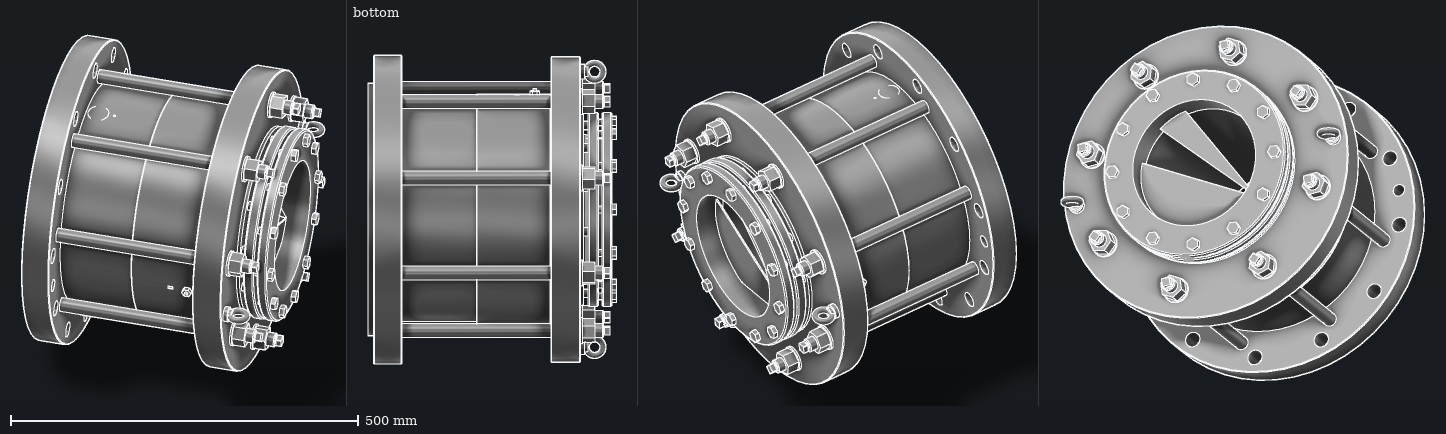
import cadquery as cq
import math

RAISED_FACE_END = 8.2
FRONT_FLANGE_END = 49.0
BODY_STEP = 156.0
REAR_FLANGE_START = 263.0
REAR_FLANGE_END = 305.7
OVERALL_LENGTH = 357.6

RAISED_FACE_DIA = 364.0
FRONT_FLANGE_DIA = 445.0
REAR_FLANGE_DIA = 440.0
FRONT_BODY_DIA = 322.0
REAR_BODY_DIA = 332.0
BODY_CHAMFER = 1.2
BORE_DIA = 200.0
REAR_BORE_DIA = 190.0
FLANGE_CHAMFER = 1.2

TILT = 8.0

HOLE_CIRCLE_RADIUS = 200.0
BOLT_HOLE_COUNT = 12
BOLT_HOLE_DIA = 22.0
BOLT_HOLE_START = TILT - 15.0
EYE_HOLE_DIA = 17.5
EYE_ANGLES = (TILT + 90.0, TILT + 270.0)

ROD_COUNT = 8
ROD_CIRCLE_RADIUS = 180.0
ROD_START = TILT - 22.5
ROD_DIA = 20.0
ROD_END = 339.0
ROD_CHAMFER = 1.5
WASHER_DIA = 37.0
WASHER_THICKNESS = 2.8
NUT_FLATS = 30.0
NUT_THICKNESS = 18.0
WRENCH_TURN = 22.5
ROD_NECK_DIA = 10.0
ROD_NECK_LENGTH = 1.2
ROD_TIP_DIA = 16.0
ROD_TIP_FLATS = 12.0
ROD_TIP_LENGTH = 8.0

HUB_DIA = 204.0
SEAT_DIA = 276.0
SEAT_THICKNESS = 4.6
HUB_COLLAR_DIA = 216.0
HUB_COLLAR_LENGTH = 8.0
RING_DIA = 280.0
RING_CHAMFER = 2.0
INNER_RING_START = 316.5
INNER_RING_END = 331.5
OUTER_RING_START = 336.8
OUTER_RING_END = 350.8
RING_BOLT_COUNT = 12
RING_BOLT_RADIUS = 125.0
RING_BOLT_DIA = 10.0
RING_BOLT_FLATS = 16.0
SPACER_DIA = 12.5

EYE_BASE_DIA = 21.5
EYE_BASE_THICKNESS = 6.0
EYE_COLLAR_DIA = 16.0
EYE_COLLAR_END = 11.0
EYE_RING_CENTRE = 20.3
EYE_RING_RADIUS = 12.0
EYE_RING_WIRE_DIA = 9.0

VANE_START = 316.5
VANE_THICKNESS = 2.0
VANE_APEX = 238.4
NARROW_VANE_EDGES = (16.6, 43.6)
WIDE_VANE_EDGES = (77.0, 160.4)
WIDE_VANE_CHORD_END = 219.7

FITTING_X = 240.0
FITTING_FLATS = 12.0
FITTING_HEIGHT = 6.0
FITTING_ROOT = 5.0
NIPPLE_DIA = 4.94
NIPPLE_HEIGHT = 9.5
MARK_X = 214.5
MARK_LENGTH = 7.0
MARK_WIDTH = 4.0
MARK_DEPTH = 1.0
PLUG_X = 67.0
PLUG_DIA = 30.0
PLUG_RECESS = 0.5
PIN_HOLE_X = 91.0
PIN_HOLE_DIA = 2.5
PIN_HOLE_DEPTH = 5.0


def polar(radius, angle):
    """(Y, Z) at a clockwise angle from +Z, looking along +X."""
    a = math.radians(angle)
    return (-radius * math.sin(a), radius * math.cos(a))


def circle_of(count, radius, start):
    """Evenly spaced (Y, Z) points with the angle of each."""
    angles = [start + i * 360.0 / count for i in range(count)]
    return [(polar(radius, angle), angle) for angle in angles]


def cylinder(x_start, x_end, diameter, centre=(0, 0)):
    plane = cq.Workplane("YZ", origin=(x_start, *centre))
    return plane.circle(diameter / 2).extrude(x_end - x_start)


def hexagon(x_start, x_end, flats, centre, corner_angle):
    """Hexagonal prism along X with one corner at the given clockwise angle."""
    corner_dia = flats / math.cos(math.radians(30))
    plane = cq.Workplane("YZ", origin=(x_start, *centre))
    prism = plane.polygon(6, corner_dia).extrude(x_end - x_start)
    axis_start = (0, *centre)
    axis_end = (1, *centre)
    return prism.rotate(axis_start, axis_end, 90 + corner_angle)


def make_body():
    raised_face = cylinder(0, RAISED_FACE_END, RAISED_FACE_DIA)
    front_flange = cylinder(RAISED_FACE_END, FRONT_FLANGE_END, FRONT_FLANGE_DIA)
    front_flange = front_flange.edges().chamfer(FLANGE_CHAMFER)
    front_body = cylinder(FRONT_FLANGE_END, BODY_STEP, FRONT_BODY_DIA)
    rear_body = cylinder(BODY_STEP, REAR_FLANGE_START, REAR_BODY_DIA).edges().chamfer(BODY_CHAMFER)
    rear_flange = cylinder(REAR_FLANGE_START, REAR_FLANGE_END, REAR_FLANGE_DIA)
    rear_flange = rear_flange.edges().chamfer(FLANGE_CHAMFER)
    body = raised_face.union(front_flange).union(front_body).union(rear_body).union(rear_flange)
    return body.cut(cylinder(0, REAR_FLANGE_END, BORE_DIA))


def front_flange_holes():
    bolt_points = [p for p, _ in circle_of(BOLT_HOLE_COUNT, HOLE_CIRCLE_RADIUS, BOLT_HOLE_START)]
    eye_points = [polar(HOLE_CIRCLE_RADIUS, angle) for angle in EYE_ANGLES]
    plane = cq.Workplane("YZ")
    bolt_holes = plane.pushPoints(bolt_points).circle(BOLT_HOLE_DIA / 2).extrude(FRONT_FLANGE_END)
    eye_holes = plane.pushPoints(eye_points).circle(EYE_HOLE_DIA / 2).extrude(FRONT_FLANGE_END)
    return bolt_holes.union(eye_holes)


def make_tie_rod(centre, angle):
    washer_end = REAR_FLANGE_END + WASHER_THICKNESS
    nut_end = washer_end + NUT_THICKNESS
    neck_end = ROD_END + ROD_NECK_LENGTH
    tip_end = neck_end + ROD_TIP_LENGTH
    rod = cylinder(FRONT_FLANGE_END, ROD_END, ROD_DIA, centre).faces(">X").chamfer(ROD_CHAMFER)
    washer = cylinder(REAR_FLANGE_END, washer_end, WASHER_DIA, centre)
    nut = hexagon(washer_end, nut_end, NUT_FLATS, centre, angle + WRENCH_TURN)
    neck = cylinder(ROD_END, neck_end, ROD_NECK_DIA, centre)
    flats = cq.Workplane("YZ", origin=(neck_end, *centre)).rect(ROD_TIP_FLATS, ROD_TIP_FLATS)
    flats = flats.extrude(ROD_TIP_LENGTH).rotate((0, *centre), (1, *centre), angle + WRENCH_TURN)
    tip = cylinder(neck_end, tip_end, ROD_TIP_DIA, centre).intersect(flats)
    return rod.union(washer).union(nut).union(neck).union(tip)


def make_clamp_rings():
    seat = cylinder(REAR_FLANGE_END, REAR_FLANGE_END + SEAT_THICKNESS, SEAT_DIA)
    hub = cylinder(REAR_FLANGE_END, OUTER_RING_END, HUB_DIA)
    collar = cylinder(REAR_FLANGE_END, REAR_FLANGE_END + HUB_COLLAR_LENGTH, HUB_COLLAR_DIA)
    rings = seat.union(hub).union(collar)
    for start, end in ((INNER_RING_START, INNER_RING_END), (OUTER_RING_START, OUTER_RING_END)):
        rings = rings.union(cylinder(start, end, RING_DIA).edges().chamfer(RING_CHAMFER))
    for centre, angle in circle_of(RING_BOLT_COUNT, RING_BOLT_RADIUS, 0):
        rings = rings.union(cylinder(INNER_RING_END, OUTER_RING_START, RING_BOLT_DIA, centre))
        rings = rings.union(hexagon(OUTER_RING_END, OVERALL_LENGTH, RING_BOLT_FLATS, centre, angle))
    half_pitch = 180.0 / RING_BOLT_COUNT
    for centre, _ in circle_of(RING_BOLT_COUNT, RING_BOLT_RADIUS, half_pitch):
        rings = rings.union(cylinder(REAR_FLANGE_END, INNER_RING_START, SPACER_DIA, centre))
    return rings.cut(cylinder(REAR_FLANGE_END, OUTER_RING_END, REAR_BORE_DIA))


def make_eye_bolt(angle):
    y, z = polar(HOLE_CIRCLE_RADIUS, angle)
    base_end = REAR_FLANGE_END + EYE_BASE_THICKNESS
    ring_x = REAR_FLANGE_END + EYE_RING_CENTRE
    base = cylinder(REAR_FLANGE_END, base_end, EYE_BASE_DIA, (y, z))
    collar = cylinder(base_end, REAR_FLANGE_END + EYE_COLLAR_END, EYE_COLLAR_DIA, (y, z))
    ring = cq.Solid.makeTorus(
        EYE_RING_RADIUS, EYE_RING_WIRE_DIA / 2, cq.Vector(ring_x, y, z), cq.Vector(0, 0, 1)
    )
    return base.union(collar).union(cq.Workplane(ring))


def make_vanes():
    radius = (HUB_DIA + REAR_BORE_DIA) / 4
    plane = cq.Workplane("YZ", origin=(VANE_START, 0, 0))

    def arc(sketch, start, end):
        return sketch.threePointArc(polar(radius, (start + end) / 2), polar(radius, end))

    apex = polar(radius, VANE_APEX)
    narrow = plane.moveTo(*apex).lineTo(*polar(radius, NARROW_VANE_EDGES[0]))
    narrow = arc(narrow, *NARROW_VANE_EDGES).close().extrude(VANE_THICKNESS)
    wide = plane.moveTo(*apex).lineTo(*polar(radius, WIDE_VANE_EDGES[0]))
    wide = arc(wide, *WIDE_VANE_EDGES).lineTo(*polar(radius, WIDE_VANE_CHORD_END))
    wide = arc(wide, WIDE_VANE_CHORD_END, VANE_APEX).close().extrude(VANE_THICKNESS)
    return narrow.union(wide)


def radial_plane(x, radius, angle):
    """Workplane facing outward at a station, radius and clockwise angle."""
    y, z = polar(radius, angle)
    return cq.Workplane(cq.Plane(origin=(x, y, z), xDir=(1, 0, 0), normal=(0, y, z)))


def make_fitting(angle):
    plane = radial_plane(FITTING_X, REAR_BODY_DIA / 2 - FITTING_ROOT, angle)
    corner_dia = FITTING_FLATS / math.cos(math.radians(30))
    nut = plane.polygon(6, corner_dia).extrude(FITTING_ROOT + FITTING_HEIGHT)
    nipple = plane.circle(NIPPLE_DIA / 2).extrude(FITTING_ROOT + NIPPLE_HEIGHT)
    return nut.union(nipple)


def body_recesses():
    mark_plane = radial_plane(MARK_X, REAR_BODY_DIA / 2 - MARK_DEPTH, EYE_ANGLES[0])
    mark = mark_plane.rect(MARK_LENGTH, MARK_WIDTH).extrude(2 * MARK_DEPTH)
    body_radius = FRONT_BODY_DIA / 2
    plug_plane = radial_plane(PLUG_X, body_radius - PLUG_RECESS, TILT)
    plug_face = plug_plane.circle(PLUG_DIA / 2).extrude(2 * PLUG_RECESS)
    pin_plane = radial_plane(PIN_HOLE_X, body_radius - PIN_HOLE_DEPTH, TILT)
    pin_hole = pin_plane.circle(PIN_HOLE_DIA / 2).extrude(2 * PIN_HOLE_DEPTH)
    return mark.union(plug_face).union(pin_hole)


result = make_body().cut(front_flange_holes()).cut(body_recesses())
result = result.union(make_clamp_rings()).union(make_vanes())
for rod_centre, rod_angle in circle_of(ROD_COUNT, ROD_CIRCLE_RADIUS, ROD_START):
    result = result.union(make_tie_rod(rod_centre, rod_angle))
for eye_angle in EYE_ANGLES:
    result = result.union(make_eye_bolt(eye_angle)).union(make_fitting(eye_angle))